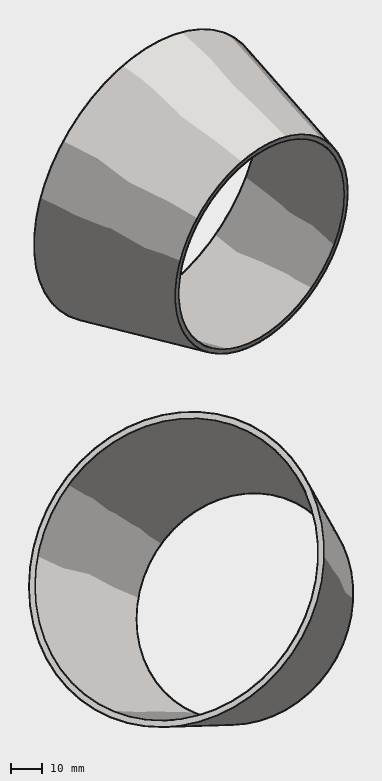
import cadquery as cq

length = 50.0
wide_outer_diameter = 101.6
narrow_outer_diameter = 76.2
wide_wall = 2.1
narrow_wall = 1.6


def solid_taper(wide_diameter, narrow_diameter):
    """Solid cone frustum along +X between two round ends."""
    return (
        cq.Workplane("YZ")
        .circle(wide_diameter / 2)
        .workplane(offset=length)
        .circle(narrow_diameter / 2)
        .loft(ruled=True)
    )


outer_body = solid_taper(wide_outer_diameter, narrow_outer_diameter)
bore = solid_taper(
    wide_outer_diameter - 2 * wide_wall,
    narrow_outer_diameter - 2 * narrow_wall,
)

result = outer_body.cut(bore)